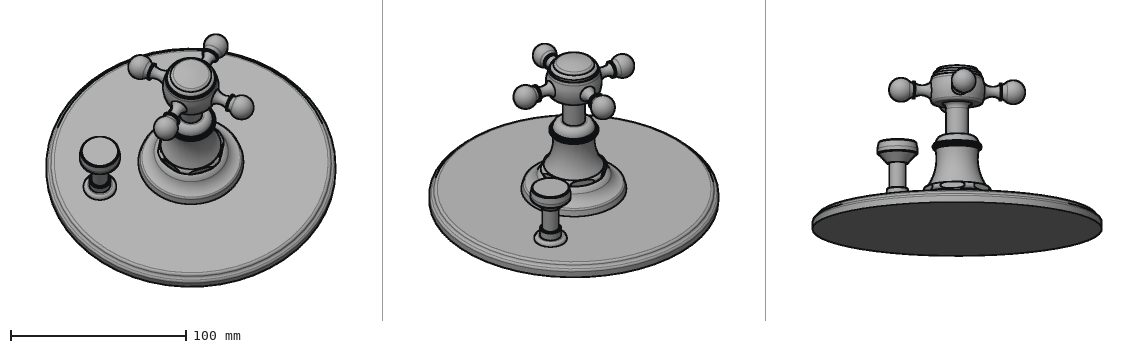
import cadquery as cq
import math


plate_radius = 82.5
plate_top = 8.0
plate_rim_height = 4.0
plate_cove_radius = 81.4
plate_cove_bottom = 5.3
plate_step_radius = 79.9
plate_step_top = 7.0
plate_face_radius = 78.1

foot_radius = 30.0
foot_top_radius = 29.0
foot_rim_height = 11.4
foot_lip_radius = 28.0
foot_lip_height = 12.4
foot_cove_bulge = 1.0
cove_top_radius = 21.1
cove_top = 17.8
shoulder_radius = 18.0

hex_sides = 6
hex_bottom = 20.5
hex_top = 24.3
hex_flat_distance = 17.8
ring_edge_radius = 17.7
ring_bulge_radius = 19.2

bell_bottom_radius = 17.2
waist_radius = 11.9
waist_height = 41.3
body_top_radius = 12.4
bead_bottom = 46.0
bead_top = 49.2
bead_edge_radius = 13.2
bead_land_radius = 13.7
bead_ridge_radius = 14.2
bead_chamfer = 0.5
bead_ridge_half_width = 0.5
cap_top = 54.2

stem_radius = 6.5
stem_top = 69.5
stem_flare_radius = 8.6
stem_flare_bulge = 0.7
hub_bottom = 72.6
hub_bottom_radius = 13.4
hub_edge_radius = 14.9
hub_sphere_radius = 16.0
hub_wall_bottom = 74.1
hub_wall_top = 86.5
hub_step_height = 88.2
hub_shoulder_radius = 14.4
hub_step_bulge = 0.08
crown_radius = 13.7
crown_wall_top = 89.6
crown_top = 91.5
button_radius = 11.7
button_wall_top = 92.0
button_face_radius = 10.2
button_face_height = 93.1
handle_top = 94.6

arm_count = 4
first_arm_angle = 45
arm_height = 80.0
arm_start = 11.5
ball_distance = 32.2
ball_radius = 7.0
arm_root_distance = 14.7
arm_root_radius = 5.5
arm_waist_distance = 19.5
arm_waist_radius = 3.0
collar_inner = 24.5
collar_outer = 25.5
collar_radius = 5.0
collar_neck_radius = 4.1
ball_join_distance = 28.0

knob_y = -54.8
knob_flange_radius = 9.4
knob_flange_top = 10.2
knob_flange_rounding = 2.3
knob_sleeve_radius = 6.1
knob_sleeve_top = 15.4
knob_sleeve_chamfer = 0.5
knob_stem_radius = 4.8
knob_cone_bottom = 29.9
knob_cone_bottom_radius = 5.8
knob_cone_top = 35.2
knob_cone_top_radius = 10.7
knob_head_radius = 11.5
knob_head_chamfer = 0.5
knob_band_top = 38.1
knob_top_radius = 10.9
knob_top = 42.3
knob_edge_chamfer = 0.7

round_bulge = 0.3
shallow_bulge = 0.25

overlap = 0.8


def revolve_about_z(profile):
    """Close a (radius, height) profile and turn it around Z."""
    return profile.close().revolve(360, (0, 0, 0), (0, 1, 0))


def bulged_mid(start, end, bulge):
    """Point beside the middle of a chord; positive bulge lies to the left of the direction of travel."""
    dx = end[0] - start[0]
    dy = end[1] - start[1]
    length = math.hypot(dx, dy)
    return (
        (start[0] + end[0]) / 2 - bulge * dy / length,
        (start[1] + end[1]) / 2 + bulge * dx / length,
    )


def quarter_bulge(radius):
    """Bulge of a quarter circle above its chord."""
    return radius * (1 - math.cos(math.pi / 4))


def arc_between(profile, start, end, bulge):
    """Continue the profile with an arc that stands off its chord by the bulge."""
    return profile.threePointArc(bulged_mid(start, end, bulge), end)


def wall_plate():
    rim = (plate_radius, plate_rim_height)
    cove = (plate_cove_radius, plate_cove_bottom)
    step_top = (plate_step_radius, plate_step_top)
    face = (plate_face_radius, plate_top)
    profile = cq.Workplane("XZ").moveTo(0, 0).lineTo(plate_radius, 0).lineTo(*rim)
    profile = arc_between(profile, rim, cove, -shallow_bulge)
    profile = arc_between(profile, cove, step_top, round_bulge)
    profile = arc_between(profile, step_top, face, -round_bulge)
    return revolve_about_z(profile.lineTo(0, plate_top))


def escutcheon():
    rim = (foot_top_radius, foot_rim_height)
    lip = (foot_lip_radius, foot_lip_height)
    cove = (cove_top_radius, cove_top)
    shoulder = (shoulder_radius, hex_bottom)
    profile = (
        cq.Workplane("XZ")
        .moveTo(0, plate_top - overlap)
        .lineTo(foot_radius, plate_top - overlap)
        .lineTo(foot_radius, plate_top)
        .lineTo(*rim)
    )
    profile = arc_between(profile, rim, lip, -shallow_bulge)
    profile = arc_between(profile, lip, cove, foot_cove_bulge)
    profile = arc_between(profile, cove, shoulder, -round_bulge)
    return revolve_about_z(profile.lineTo(0, hex_bottom))


def hex_ring():
    lower = (ring_edge_radius, hex_bottom)
    upper = (ring_edge_radius, hex_top)
    ring = cq.Workplane("XZ").moveTo(0, hex_bottom).lineTo(*lower)
    ring = arc_between(ring, lower, upper, ring_edge_radius - ring_bulge_radius)
    ring = revolve_about_z(ring.lineTo(0, hex_top))
    across_corners = 2 * hex_flat_distance / math.cos(math.pi / hex_sides)
    prism = (
        cq.Workplane("XY", origin=(0, 0, hex_bottom))
        .transformed(rotate=(0, 0, 180 / hex_sides))
        .polygon(hex_sides, across_corners)
        .extrude(hex_top - hex_bottom)
    )
    return ring.intersect(prism)


def flared_body():
    bell = (bell_bottom_radius, hex_top)
    waist = (waist_radius, waist_height)
    bell_top = (body_top_radius, bead_bottom)
    cap_rounding = cap_top - bead_top
    cap_wall = (body_top_radius, bead_top)
    cap_edge = (body_top_radius - cap_rounding, cap_top)
    bead_middle = (bead_bottom + bead_top) / 2
    profile = (
        cq.Workplane("XZ")
        .moveTo(0, hex_top - overlap)
        .lineTo(bell_bottom_radius, hex_top - overlap)
        .lineTo(*bell)
        .threePointArc(waist, bell_top)
        .lineTo(bead_edge_radius, bead_bottom)
        .lineTo(bead_land_radius, bead_bottom + bead_chamfer)
        .lineTo(bead_land_radius, bead_middle - bead_ridge_half_width)
        .lineTo(bead_ridge_radius, bead_middle)
        .lineTo(bead_land_radius, bead_middle + bead_ridge_half_width)
        .lineTo(bead_land_radius, bead_top - bead_chamfer)
        .lineTo(bead_edge_radius, bead_top)
        .lineTo(*cap_wall)
    )
    profile = arc_between(profile, cap_wall, cap_edge, -quarter_bulge(cap_rounding))
    return revolve_about_z(profile.lineTo(0, cap_top))


def stem_and_hub():
    stem_end = (stem_radius, stem_top)
    flare = (stem_flare_radius, hub_bottom)
    hub_low = (hub_bottom_radius, hub_bottom)
    hub_wall = (hub_edge_radius, hub_wall_bottom)
    hub_wall_end = (hub_edge_radius, hub_wall_top)
    hub_step = (hub_shoulder_radius, hub_step_height)
    crown_wall = (crown_radius, crown_wall_top)
    crown = (button_radius, crown_top)
    button_wall = (button_radius, button_wall_top)
    button_face = (button_face_radius, button_face_height)
    apex = (0, handle_top)
    profile = (
        cq.Workplane("XZ")
        .moveTo(0, cap_top - overlap)
        .lineTo(stem_radius, cap_top - overlap)
        .lineTo(*stem_end)
    )
    profile = arc_between(profile, stem_end, flare, stem_flare_bulge)
    profile = profile.lineTo(*hub_low)
    profile = arc_between(profile, hub_low, hub_wall, -round_bulge)
    hub_middle = (hub_sphere_radius, (hub_wall_bottom + hub_wall_top) / 2)
    profile = profile.threePointArc(hub_middle, hub_wall_end)
    profile = arc_between(profile, hub_wall_end, hub_step, -hub_step_bulge)
    profile = profile.lineTo(crown_radius, hub_step_height).lineTo(*crown_wall)
    profile = arc_between(profile, crown_wall, crown, -round_bulge)
    profile = profile.lineTo(*button_wall)
    profile = arc_between(profile, button_wall, button_face, -round_bulge)
    rise = handle_top - button_face_height
    dome_radius = (button_face_radius**2 + rise**2) / (2 * rise)
    mid_radius = button_face_radius / 2
    mid_height = handle_top - dome_radius + math.sqrt(dome_radius**2 - mid_radius**2)
    profile = profile.threePointArc((mid_radius, mid_height), apex)
    return revolve_about_z(profile)


def handle_arm():
    """One arm along +X: waisted neck, collar and ball."""
    ball_join_radius = math.sqrt(ball_radius**2 - (ball_distance - ball_join_distance) ** 2)
    neck_end = (collar_outer, collar_neck_radius)
    ball_join = (ball_join_distance, ball_join_radius)
    profile = (
        cq.Workplane("XZ")
        .moveTo(arm_start, 0)
        .lineTo(arm_start, arm_root_radius)
        .lineTo(arm_root_distance, arm_root_radius)
        .threePointArc((arm_waist_distance, arm_waist_radius), (collar_inner, collar_neck_radius))
        .lineTo(collar_inner, collar_radius)
        .lineTo(collar_outer, collar_radius)
        .lineTo(*neck_end)
    )
    profile = arc_between(profile, neck_end, ball_join, -shallow_bulge)
    profile = profile.threePointArc((ball_distance, ball_radius), (ball_distance + ball_radius, 0))
    arm = profile.close().revolve(360, (0, 0, 0), (1, 0, 0))
    return arm.translate((0, 0, arm_height))


def diverter_knob():
    flange_wall = (knob_flange_radius, plate_top)
    flange_face = (knob_flange_radius - knob_flange_rounding, knob_flange_top)
    profile = (
        cq.Workplane("XZ")
        .moveTo(0, plate_top - overlap)
        .lineTo(knob_flange_radius, plate_top - overlap)
        .lineTo(*flange_wall)
    )
    profile = arc_between(profile, flange_wall, flange_face, -quarter_bulge(knob_flange_rounding))
    profile = (
        profile.lineTo(knob_sleeve_radius, knob_flange_top)
        .lineTo(knob_sleeve_radius, knob_sleeve_top - knob_sleeve_chamfer)
        .lineTo(knob_sleeve_radius - knob_sleeve_chamfer, knob_sleeve_top)
        .lineTo(knob_stem_radius, knob_sleeve_top)
        .lineTo(knob_stem_radius, knob_cone_bottom)
        .lineTo(knob_cone_bottom_radius, knob_cone_bottom)
        .lineTo(knob_cone_top_radius, knob_cone_top)
        .lineTo(knob_head_radius - knob_head_chamfer, knob_cone_top)
        .lineTo(knob_head_radius, knob_cone_top + knob_head_chamfer)
        .lineTo(knob_head_radius, knob_band_top)
        .lineTo(knob_top_radius, knob_top - knob_edge_chamfer)
        .lineTo(knob_top_radius - knob_edge_chamfer, knob_top)
        .lineTo(0, knob_top)
    )
    return revolve_about_z(profile).translate((0, knob_y, 0))


result = wall_plate()
for piece in (escutcheon(), hex_ring(), flared_body(), stem_and_hub(), diverter_knob()):
    result = result.union(piece)
arm = handle_arm()
for index in range(arm_count):
    angle = first_arm_angle + index * 360 / arm_count
    result = result.union(arm.rotate((0, 0, 0), (0, 0, 1), angle))